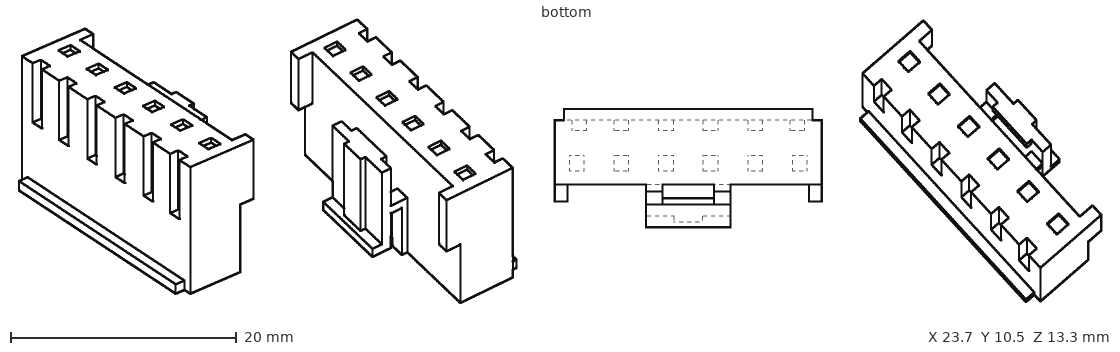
import cadquery as cq

length = 23.7
height = 13.3
body_depth = 5.7

wing_thickness = 1.15
wing_back = 7.23
wing_height = 6.2

lip_length = 22.06
lip_size = 1.0

contact_pitch = 3.95
end_slot_x = 9.67
contact_count = 6
opening_width = 1.3
slot_depth = 0.92
slot_height = 6.2
hole_span_y = 1.37
hole_center_y = 3.82
hole_depth = 0.5

latch_width = 7.51
leg_width = 1.5
pad_thickness = 0.6
bridge_bottom = 5.69
bridge_top = 6.61
plate_front = 7.5
plate_thickness = 1.0
plate_bottom = 1.5
plate_top = 11.16
ledge_height = 1.0
ledge_back = 9.5
ridge_width = 2.5
ridge_back = 9.0
stop_depth = 0.57
stop_height = 1.5


def block(x_center, width, y_range, z_range):
    """Box centred on x_center, spanning the given Y and Z ranges."""
    y_min, y_max = y_range
    z_min, z_max = z_range
    return (
        cq.Workplane("XY")
        .box(width, y_max - y_min, z_max - z_min, centered=(True, False, False))
        .translate((x_center, y_min, z_min))
    )


def make_housing():
    housing = block(0, length, (0, body_depth), (0, height))
    wing_x = (length - wing_thickness) / 2
    for x in (-wing_x, wing_x):
        wing = block(x, wing_thickness, (0, wing_back), (height - wing_height, height))
        housing = housing.union(wing)
    lip = block(0, lip_length, (-lip_size, 0), (0, lip_size))
    return housing.union(lip)


def make_latch():
    plate_back = plate_front + plate_thickness
    ledge_top = plate_bottom + ledge_height
    latch = block(0, latch_width, (plate_front, plate_back), (plate_bottom, plate_top))

    latch = latch.union(block(0, latch_width, (plate_front, ledge_back), (plate_bottom, ledge_top)))
    latch = latch.union(block(0, ridge_width, (plate_front, ridge_back), (plate_bottom, plate_top)))

    stop_width = latch_width - 2 * leg_width
    stop_y = (plate_front - stop_depth, plate_back)
    latch = latch.union(block(0, stop_width, stop_y, (plate_top - stop_height, plate_top)))

    leg_x = (latch_width - leg_width) / 2
    for x in (-leg_x, leg_x):
        pad = block(x, leg_width, (body_depth, body_depth + pad_thickness), (0, bridge_top))
        bridge = block(x, leg_width, (body_depth, plate_front), (bridge_bottom, bridge_top))
        latch = latch.union(pad).union(bridge)
    return latch


def cut_contact_openings(housing):
    hole_y = (hole_center_y - hole_span_y / 2, hole_center_y + hole_span_y / 2)
    for i in range(contact_count):
        hole_x = (i - (contact_count - 1) / 2) * contact_pitch
        slot_x = max(-end_slot_x, min(end_slot_x, hole_x))
        hole = block(hole_x, opening_width, hole_y, (height - hole_depth, height))
        slot = block(slot_x, opening_width, (0, slot_depth), (height - slot_height, height))
        housing = housing.cut(hole).cut(slot)
    return housing


result = cut_contact_openings(make_housing()).union(make_latch())